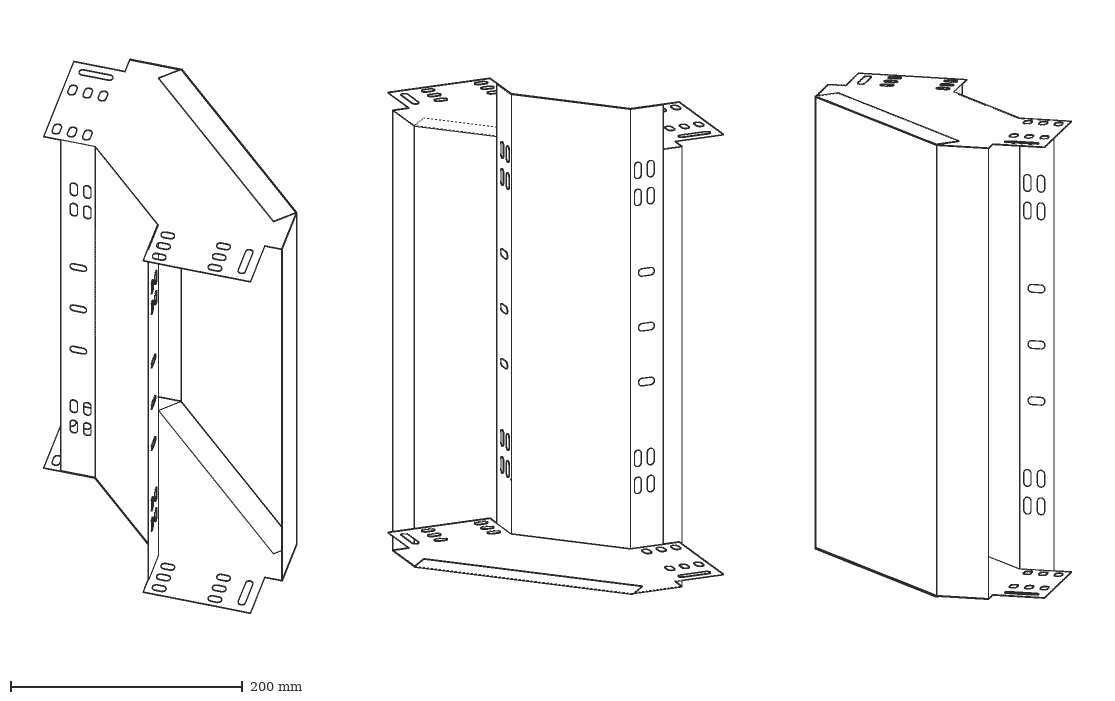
import cadquery as cq
import math

HEIGHT = 403.0
SPAN = 236.3
SHEET = 0.73

ARM_LENGTH = 46.0
ARM_NEAR = 124.0
ARM_FAR = 220.5
WING_START = 15.5
COVER_CORNER = 92.5
TAB_WIDTH = 23.0

PLATE_SLOT_LENGTH = 12.0
PLATE_SLOT_WIDTH = 7.0
PLATE_SLOT_START = 8.5
PLATE_SLOT_PITCH = 13.7
PLATE_SLOT_COUNT = 3
PLATE_ROW_OFFSET = 12.0
PLATE_ROW_PITCH = 50.0
PLATE_ROW_COUNT = 2
LONG_SLOT_LENGTH = 30.2
LONG_SLOT_WIDTH = 6.5
LONG_SLOT_CENTRE = 23.0
LONG_SLOT_EDGE = 11.0

WING_SLOT_LENGTH = 15.0
WING_SLOT_WIDTH = 6.5
WING_SLOT_COLUMNS = (27.0, 39.0)
WING_SLOT_HEIGHTS = (119.0, 143.5)
CROSS_SLOT_LENGTH = 15.0
CROSS_SLOT_WIDTH = 7.0
CROSS_SLOT_CENTRE = 31.0
CROSS_SLOT_PITCH = 50.0

PLATE_TOP = HEIGHT / 2 - SHEET
MITRE = SHEET * math.tan(math.pi / 8)
INSIDE = SPAN - SHEET
INSIDE_CORNER = COVER_CORNER - MITRE
TAB_REACH = (TAB_WIDTH - SHEET) / math.sqrt(2)


def swapped(points):
    """Mirror points in the plane X = Y, in reverse order."""
    return [(y, x) for x, y in reversed(points)]


def prism(half_outline, bottom, top):
    """Extrude an outline that is symmetric about the plane X = Y."""
    outline = half_outline + swapped(half_outline)
    return cq.Workplane("XY").workplane(offset=bottom).polyline(outline).close().extrude(top - bottom)


def bent_wall(outer, inner, half_height):
    """Upright sheet between two symmetric half lines, centred on Z = 0."""
    outer_line = outer + swapped(outer)
    inner_line = inner + swapped(inner)
    outline = outer_line + inner_line[::-1]
    return (
        cq.Workplane("XY").workplane(offset=-half_height)
        .polyline(outline).close().extrude(2 * half_height)
    )


def both_arms(cutter):
    """The cutter of the -X arm with a copy turned over into the -Y arm (it is symmetric in Z)."""
    twin = cutter.rotate((0, 0, 0), (1, 1, 0), 180)
    return cutter.union(twin)


def plate_slots():
    """Slots of the -X arm, through both plates."""
    sketch = cq.Workplane("XY").workplane(offset=-HEIGHT / 2)
    columns = [PLATE_SLOT_START + i * PLATE_SLOT_PITCH for i in range(PLATE_SLOT_COUNT)]
    rows = [ARM_NEAR + PLATE_ROW_OFFSET + i * PLATE_ROW_PITCH for i in range(PLATE_ROW_COUNT)]
    centres = [(x, y) for x in columns for y in rows]
    slots = sketch.pushPoints(centres).slot2D(PLATE_SLOT_LENGTH, PLATE_SLOT_WIDTH, 90).extrude(HEIGHT)
    long_slot = (
        sketch.center(LONG_SLOT_CENTRE, ARM_FAR - LONG_SLOT_EDGE)
        .slot2D(LONG_SLOT_LENGTH, LONG_SLOT_WIDTH).extrude(HEIGHT)
    )
    return slots.union(long_slot)


def wing_slots():
    """Slots of the -X arm, through its side wing and one sheet thickness beyond each face."""
    overshoot = SHEET
    depth = SHEET + 2 * overshoot
    sketch = cq.Workplane("XZ", origin=(0, ARM_NEAR + SHEET + overshoot, 0))
    upright = [(x, side * z) for x in WING_SLOT_COLUMNS for z in WING_SLOT_HEIGHTS for side in (-1, 1)]
    cross = [(CROSS_SLOT_CENTRE, step * CROSS_SLOT_PITCH) for step in (-1, 0, 1)]
    slots = sketch.pushPoints(upright).slot2D(WING_SLOT_LENGTH, WING_SLOT_WIDTH, 90).extrude(depth)
    cross_slots = sketch.pushPoints(cross).slot2D(CROSS_SLOT_LENGTH, CROSS_SLOT_WIDTH).extrude(depth)
    return slots.union(cross_slots)


def make_channel():
    plate_outline = [
        (ARM_LENGTH, ARM_NEAR),
        (0, ARM_NEAR),
        (0, ARM_FAR),
        (ARM_LENGTH, ARM_FAR),
        (ARM_LENGTH, INSIDE),
        (INSIDE_CORNER, INSIDE),
    ]
    top_plate = prism(plate_outline, PLATE_TOP - SHEET, PLATE_TOP)
    bottom_plate = prism(plate_outline, -PLATE_TOP, -PLATE_TOP + SHEET)
    wall = bent_wall(
        [(WING_START, ARM_NEAR), (ARM_LENGTH, ARM_NEAR)],
        [(WING_START, ARM_NEAR + SHEET), (ARM_LENGTH + MITRE, ARM_NEAR + SHEET)],
        PLATE_TOP,
    )
    channel = top_plate.union(bottom_plate).union(wall)
    return channel.cut(both_arms(plate_slots())).cut(both_arms(wing_slots()))


def make_cover():
    wall = bent_wall(
        [(ARM_LENGTH, SPAN), (COVER_CORNER, SPAN)],
        [(ARM_LENGTH, INSIDE), (INSIDE_CORNER, INSIDE)],
        PLATE_TOP,
    )
    bend_run = SHEET / math.sqrt(2)
    tab_outline = [
        (INSIDE_CORNER - TAB_REACH, INSIDE - TAB_REACH),
        (INSIDE_CORNER, INSIDE),
        (INSIDE_CORNER + bend_run, INSIDE + bend_run),
    ]
    top_tab = prism(tab_outline, PLATE_TOP, HEIGHT / 2)
    bottom_tab = prism(tab_outline, -HEIGHT / 2, -PLATE_TOP)
    return wall.union(top_tab).union(bottom_tab)


channel = make_channel()
cover = make_cover()

result = cq.Compound.makeCompound([channel.solids().val(), cover.solids().val()])